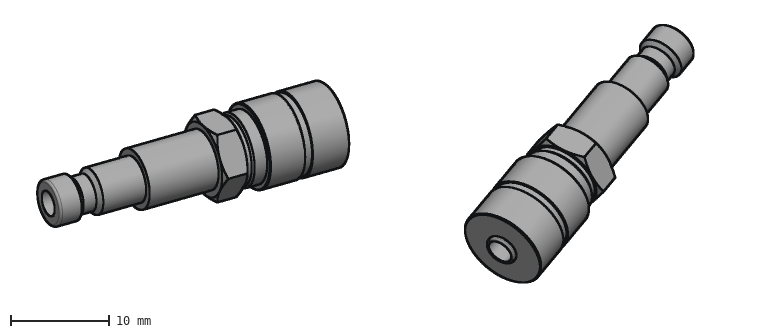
import cadquery as cq
import math

plug_head_end = 2.5
plug_groove_start = 3.0
plug_groove_end = 4.5
plug_shank_start = 5.0
plug_shank_end = 10.0
hex_start = 18.02
hex_end = 21.0
collar_bevel_start = 21.58
collar_start = 21.8
sleeve_start = 23.25
sleeve_groove_start = 27.35
sleeve_groove_end = 28.25
sleeve_end = 32.55
total_length = 33.0

plug_diameter = 5.0
plug_groove_diameter = 4.03
body_diameter = 6.5
neck_diameter = 7.55
collar_diameter = 8.0
sleeve_diameter = 9.2
sleeve_groove_diameter = 8.85
tail_diameter = 3.35
bore_diameter = 2.7

hex_across_flats = 8.0
hex_bevel_ratio = 0.6
tip_fillet = 0.25
tail_fillet = 0.2
sleeve_edge_chamfer = 0.1


def cylinder(diameter, start, end):
    """Solid cylinder on the Y axis between two axial positions."""
    sketch = cq.Workplane("XZ", origin=(0, start, 0)).circle(diameter / 2)
    return sketch.extrude(start - end)


def cone(start_diameter, start, end_diameter, end):
    """Truncated cone on the Y axis between two axial positions."""
    profile = cq.Workplane("XY").polyline([
        (0, start),
        (start_diameter / 2, start),
        (end_diameter / 2, end),
        (0, end),
    ]).close()
    return profile.revolve(360, (0, 0, 0), (0, 1, 0))


def plug():
    """Plug tip with a rounded end and a groove with sloped walls."""
    head = cylinder(plug_diameter, 0, plug_head_end).faces("<Y").edges().fillet(tip_fillet)
    front_slope = cone(plug_diameter, plug_head_end, plug_groove_diameter, plug_groove_start)
    groove_core = cylinder(plug_groove_diameter, plug_groove_start, plug_groove_end)
    rear_slope = cone(plug_groove_diameter, plug_groove_end, plug_diameter, plug_shank_start)
    shank = cylinder(plug_diameter, plug_shank_start, plug_shank_end)
    return head.union(front_slope).union(groove_core).union(rear_slope).union(shank)


def hex_nut():
    """Hexagon with corners on the X axis, bevelled conically at both ends."""
    across_corners = hex_across_flats / math.cos(math.radians(30))
    flat_radius = hex_across_flats / 2
    sketch = cq.Workplane("XZ", origin=(0, hex_start, 0))
    prism = sketch.polygon(6, across_corners).extrude(hex_start - hex_end)
    middle = (hex_start + hex_end) / 2
    apex_radius = flat_radius + (middle - hex_start) / hex_bevel_ratio
    front_bevel = cone(hex_across_flats, hex_start, 2 * apex_radius, middle)
    rear_bevel = cone(2 * apex_radius, middle, hex_across_flats, hex_end)
    return prism.intersect(front_bevel.union(rear_bevel))


def collar():
    """Collar behind the hexagon, stepping down to a neck through a bevel."""
    neck = cylinder(neck_diameter, hex_end, collar_bevel_start)
    bevel = cone(neck_diameter, collar_bevel_start, collar_diameter, collar_start)
    return neck.union(bevel).union(cylinder(collar_diameter, collar_start, sleeve_start))


def sleeve():
    """Large grip sleeve with a shallow ring groove."""
    blank = cylinder(sleeve_diameter, sleeve_start, sleeve_end)
    blank = blank.faces("<Y or >Y").edges().chamfer(sleeve_edge_chamfer)
    ring = cylinder(sleeve_diameter, sleeve_groove_start, sleeve_groove_end)
    ring = ring.cut(cylinder(sleeve_groove_diameter, sleeve_groove_start, sleeve_groove_end))
    return blank.cut(ring)


def tail():
    """Short rear spigot with a rounded rim."""
    return cylinder(tail_diameter, sleeve_end, total_length).faces(">Y").edges().fillet(tail_fillet)


body = cylinder(body_diameter, plug_shank_end, hex_start)
bore = cylinder(bore_diameter, 0, total_length)

result = plug().union(body).union(hex_nut()).union(collar()).union(sleeve()).union(tail()).cut(bore)